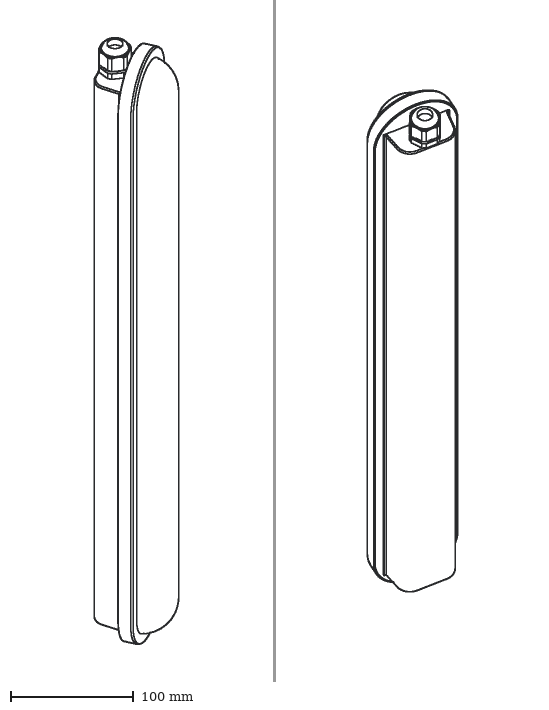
import cadquery as cq
import math


total_height = 603.0
total_depth = 66.0

flange_height = 599.0
flange_width = 77.0
flange_back = 28.5
flange_front = 41.5
back_bevel_inset = 1.0
back_bevel_depth = 0.5
front_bevel_inset = 0.5
front_bevel_depth = 2.0
dome_width = 59.0

housing_bottom = 22.5
housing_top = 576.5
back_width = 49.5
channel_front = 26.5
channel_front_width = 56.5
back_corner_radius = 12.5
top_chamfer = 1.0
rim_width = 60.0

gland_across_flats = 25.0
gland_across_edges = 26.5
nut_chamfer = 1.0
groove_bottom = 582.0
groove_top = 584.5
groove_diameter = 20.0
cap_diameter = 22.5
cap_rim_diameter = 13.0
bore_diameter = 12.5
bore_depth = 6.0

lower_end = flange_width / 2
end_spacing = flange_height - flange_width
housing_height = housing_top - housing_bottom
gland_x = gland_across_flats / 2
cap_round = (cap_diameter - cap_rim_diameter) / 2
nut_top = total_height - cap_round


def make_flange():
    """Upright stadium plate with both outer edges bevelled."""
    plate = (
        cq.Workplane("YZ", origin=(flange_back, 0, flange_height / 2))
        .slot2D(flange_height, flange_width, 90)
        .extrude(flange_front - flange_back)
    )
    return (
        plate.faces("<X")
        .chamfer(back_bevel_depth, back_bevel_inset)
        .faces(">X")
        .chamfer(front_bevel_depth, front_bevel_inset)
    )


def dome_half_section():
    """Half of the dome's circular segment, on the +Y side."""
    half_width = dome_width / 2
    height = total_depth - flange_front
    radius = (height**2 + half_width**2) / (2 * height)
    half_angle = math.asin(half_width / radius) / 2
    arc_middle = (total_depth - radius * (1 - math.cos(half_angle)), radius * math.sin(half_angle))
    return (
        cq.Workplane("XY", origin=(0, 0, lower_end))
        .moveTo(flange_front, 0)
        .lineTo(total_depth, 0)
        .threePointArc(arc_middle, (flange_front, half_width))
        .close()
    )


def make_dome():
    """Straight segment closed at both ends by the same segment turned about X."""
    half_trough = dome_half_section().extrude(end_spacing)
    trough = half_trough.union(half_trough.mirror("XZ"))
    lower_cap = dome_half_section().revolve(360, (0, 0, 0), (1, 0, 0))
    upper_cap = lower_cap.translate((0, 0, end_spacing))
    return trough.union(lower_cap).union(upper_cap)


def make_lens():
    return make_flange().union(make_dome())


def make_housing():
    channel = (
        cq.Workplane("XY", origin=(0, 0, housing_bottom))
        .moveTo(0, -back_width / 2)
        .lineTo(channel_front, -channel_front_width / 2)
        .lineTo(channel_front, channel_front_width / 2)
        .lineTo(0, back_width / 2)
        .close()
        .extrude(housing_height)
        .edges("|Z and <X")
        .fillet(back_corner_radius)
        .faces(">Z")
        .edges("not >X")
        .chamfer(top_chamfer)
    )
    rim = cq.Workplane("XY", origin=(channel_front, 0, housing_bottom)).box(
        flange_back - channel_front, rim_width, housing_height, centered=(False, True, False)
    )
    return channel.union(rim)


def gland_plane(height):
    return cq.Workplane("XY", origin=(gland_x, 0, height))


def hexagon_prism(across_flats, turn):
    """Prism from the housing to the top of the nut; turn is in degrees."""
    return (
        gland_plane(housing_top)
        .transformed(rotate=(0, 0, turn))
        .polygon(6, across_flats / math.cos(math.pi / 6))
        .extrude(nut_top - housing_top)
    )


def make_gland():
    flats = hexagon_prism(gland_across_flats, 30)
    hexagon = flats.intersect(hexagon_prism(gland_across_edges, 0))

    turned_blank = (
        gland_plane(housing_top)
        .circle(gland_across_flats / 2 + nut_chamfer)
        .extrude(nut_top - housing_top)
        .faces(">Z")
        .chamfer(nut_chamfer)
    )
    nut = hexagon.intersect(turned_blank)

    groove = (
        gland_plane(groove_bottom)
        .circle(gland_across_edges)
        .circle(groove_diameter / 2)
        .extrude(groove_top - groove_bottom)
    )

    shoulder_offset = cap_round * math.sqrt(0.5)
    cap = (
        cq.Workplane("XZ", origin=(gland_x, 0, nut_top))
        .lineTo(cap_diameter / 2, 0)
        .threePointArc(
            (cap_rim_diameter / 2 + shoulder_offset, shoulder_offset),
            (cap_rim_diameter / 2, cap_round),
        )
        .lineTo(0, cap_round)
        .close()
        .revolve(360, (0, 0, 0), (0, 1, 0))
    )
    bore = gland_plane(total_height - bore_depth).circle(bore_diameter / 2).extrude(bore_depth)
    return nut.cut(groove).union(cap).cut(bore)


lens = make_lens()
housing = make_housing()
gland = make_gland()

result = cq.Compound.makeCompound([lens.solids().val(), housing.solids().val(), gland.solids().val()])